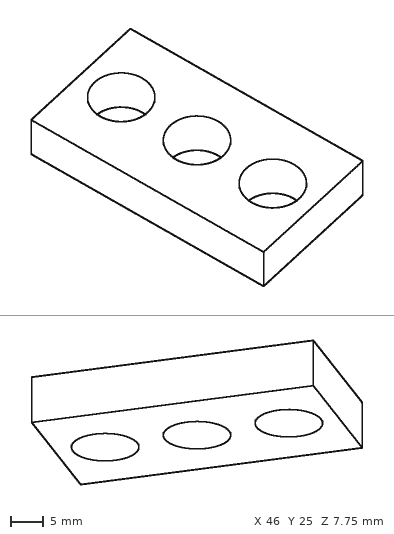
import cadquery as cq

length = 46.0
width = 25.0
height = 7.75

hole_diameter = 10.5
hole_spacing = 15.0
hole_count = 3

block = cq.Workplane("XY").box(length, width, height)

result = (
    block.faces(">Z")
    .workplane()
    .rarray(hole_spacing, 0.45, hole_count, 1)
    .hole(hole_diameter)
)